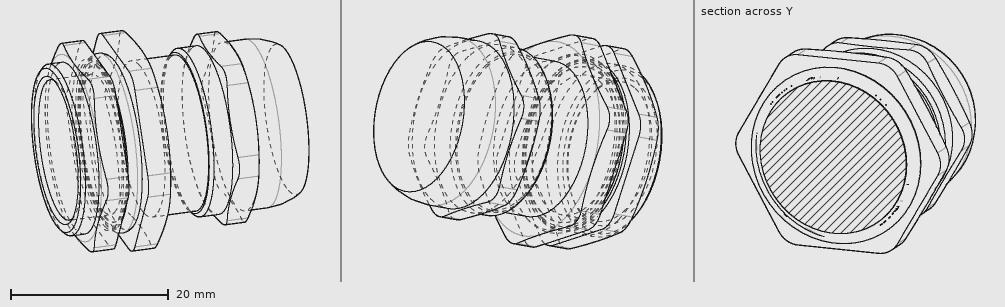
import cadquery as cq
import math

total_length = 30.6
thread_end = 6.25
locknut_start, locknut_end = 2.3, 5.55
flange_start, flange_end = 7.95, 11.35
cap_start = 17.15
cap_hex_start, cap_hex_end = 20.1, 23.62
dome_start = 26.55

thread_radius = 22.0 / 2
cap_radius = 21.6 / 2
neck_radius = 20.0 / 2
dome_end_radius = 9.65
bore_radius = 18.0 / 2
bore_depth = 6.0
edge_chamfer = 0.5
thread_back_chamfer = 0.2

ring_centre_radius = 21.0 / 2
ring_section_radius = 1.0

locknut_flats = 24.0
flange_flats = 25.0
cap_flats = 22.0
hex_corner_radius = 3.0
hex_bevel_angle = 18.0


def revolve_about_y(profile):
    return profile.close().revolve(360, (0, 0, 0), (0, 1, 0))


def cylinder(radius, start, end):
    profile = cq.Workplane("XY").moveTo(0, start).lineTo(radius, start).lineTo(radius, end).lineTo(0, end)
    return revolve_about_y(profile)


def hexagon(flats, start, end, seat_radius, bevel_start, bevel_end):
    """Rounded hexagonal prism whose chosen faces are bevelled outside seat_radius."""
    corner_diameter = flats / math.cos(math.radians(30))
    prism = (
        cq.Workplane("XZ", origin=(0, start, 0))
        .polygon(6, corner_diameter)
        .extrude(start - end)
        .edges("|Y")
        .fillet(hex_corner_radius)
    )
    limit = corner_diameter / 2
    drop = (limit - seat_radius) * math.tan(math.radians(hex_bevel_angle))
    start_drop = drop if bevel_start else 0
    end_drop = drop if bevel_end else 0
    envelope = cq.Workplane("XY").moveTo(0, start).lineTo(seat_radius, start)
    envelope = envelope.lineTo(limit, start + start_drop).lineTo(limit, end - end_drop)
    envelope = envelope.lineTo(seat_radius, end).lineTo(0, end)
    return prism.intersect(revolve_about_y(envelope))


def threaded_end():
    barrel = cylinder(thread_radius, 0, thread_end)
    return barrel.faces("<Y").chamfer(edge_chamfer).faces(">Y").chamfer(thread_back_chamfer)


def neck():
    return cylinder(neck_radius, 0, cap_start)


def sealing_ring():
    centre_y = thread_end + ring_section_radius
    section = cq.Workplane("XY").center(ring_centre_radius, centre_y).circle(ring_section_radius)
    return section.revolve(360, (-ring_centre_radius, 0, 0), (-ring_centre_radius, 1, 0))


def cap():
    """Cap nut body; the dome arc leaves the cylinder tangentially."""
    profile = (
        cq.Workplane("XY")
        .moveTo(0, cap_start)
        .lineTo(cap_radius - edge_chamfer, cap_start)
        .lineTo(cap_radius, cap_start + edge_chamfer)
        .lineTo(cap_radius, dome_start)
        .tangentArcPoint((dome_end_radius, total_length), relative=False)
        .lineTo(0, total_length)
    )
    return revolve_about_y(profile)


def bore():
    """Blind bore with a chamfered mouth."""
    profile = (
        cq.Workplane("XY")
        .lineTo(bore_radius + edge_chamfer, 0)
        .lineTo(bore_radius, edge_chamfer)
        .lineTo(bore_radius, bore_depth)
        .lineTo(0, bore_depth)
    )
    return revolve_about_y(profile)


result = (
    neck()
    .union(threaded_end())
    .union(cap())
    .union(hexagon(locknut_flats, locknut_start, locknut_end, locknut_flats / 2, True, False))
    .union(hexagon(flange_flats, flange_start, flange_end, flange_flats / 2, False, True))
    .union(hexagon(cap_flats, cap_hex_start, cap_hex_end, cap_radius, True, True))
    .union(sealing_ring())
    .cut(bore())
)